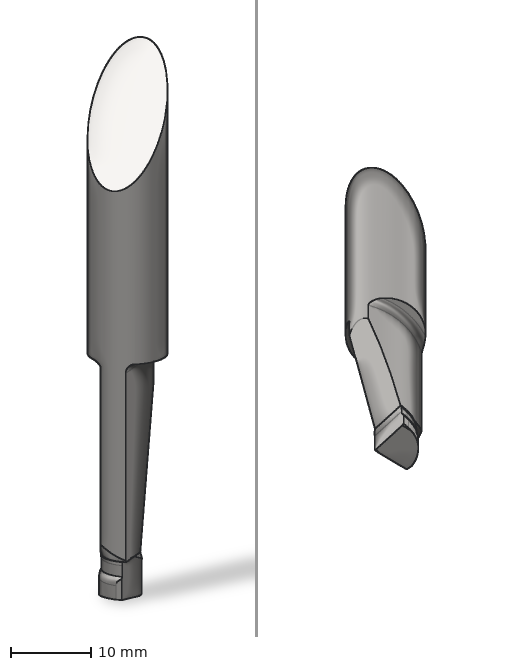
import cadquery as cq
import math

total_height = 70.9
shank_radius = 5.0
end_slope_angle = 60.0
shoulder_z = 31.2
blank_half_width = 5.7

neck_left = 2.9
neck_left_front = 1.7
neck_right = 1.6
neck_fillet = 1.05
neck_front_y = math.sqrt(shank_radius**2 - neck_left_front**2)
neck_sagitta = neck_left - neck_left_front
neck_side_radius = (neck_front_y**2 + neck_sagitta**2) / (2 * neck_sagitta)

back_top_z = 27.5
back_bottom_z = 4.4

joint_z = 5.5
head_center_x = 1.0
head_center_y = -0.85
head_radius = 4.2
groove_radius = 3.9
joint_radius = 4.0
groove_top_z = 5.1
groove_bottom_z = 3.6
head_full_z = 2.5
relief_cone_radius = 3.8
relief_cone_top_z = 9.1
relief_cone_slope = 2.2
head_right = 1.9
head_right_front = 1.1
right_chamfer_z = 4.8
bottom_rise = 0.65
corner_chamfer = 0.2


def yz_prism(points):
    """Prism across the whole width in X with the given (Y, Z) outline."""
    return (
        cq.Workplane("YZ").polyline(points).close()
        .extrude(blank_half_width, both=True)
    )


def round_bar():
    return cq.Workplane("XY").circle(shank_radius).extrude(total_height)


def neck_profile():
    """Neck section running past the shank surface at both ends."""
    end_y = blank_half_width
    arc_center_x = neck_side_radius - neck_left
    end_x = arc_center_x - math.sqrt(neck_side_radius**2 - end_y**2)
    return (
        cq.Workplane("XY").workplane(offset=joint_z)
        .moveTo(neck_right, -end_y)
        .lineTo(neck_right, end_y)
        .lineTo(end_x, end_y)
        .threePointArc((-neck_left, 0), (end_x, -end_y))
        .close()
    )


def back_waste():
    """Material behind the sloping back and behind the rake face."""
    outer_y = 2 * shank_radius
    return yz_prism([
        (0, 0), (0, back_bottom_z), (shank_radius, back_top_z),
        (outer_y, back_top_z), (outer_y, 0),
    ])


def slanted_end_waste():
    """Material above the slanted upper end."""
    rise = 2 * shank_radius * math.tan(math.radians(end_slope_angle))
    return yz_prism([
        (-shank_radius, total_height - rise),
        (shank_radius, total_height),
        (-shank_radius, total_height),
    ])


def at_head_center(solid):
    return solid.translate((head_center_x, head_center_y, 0))


def neck_relief():
    """Waste around the cone that leads the neck corner down into the head."""
    cone_height = relief_cone_top_z - joint_z
    cone_top_radius = relief_cone_radius + cone_height / relief_cone_slope
    cone = at_head_center(
        cq.Workplane("XZ")
        .polyline([
            (0, joint_z), (relief_cone_radius, joint_z),
            (cone_top_radius, relief_cone_top_z), (0, relief_cone_top_z),
        ])
        .close().revolve(360, (0, 0, 0), (0, 1, 0))
    )
    front = (
        cq.Workplane("XY")
        .box(4 * blank_half_width, 2 * blank_half_width, cone_height,
             centered=(True, False, False))
        .translate((0, head_center_y - 2 * blank_half_width, joint_z))
    )
    return front.cut(cone)


def make_shank():
    blank = (
        cq.Workplane("XY").workplane(offset=shoulder_z)
        .rect(2 * blank_half_width, 2 * blank_half_width)
        .extrude(total_height - shoulder_z)
    )
    body = blank.union(neck_profile().extrude(shoulder_z - joint_z))
    margin = neck_fillet / 2
    shoulder_edges = cq.selectors.BoxSelector(
        (-neck_left, -margin, shoulder_z - margin),
        (neck_right + margin, margin, shoulder_z + margin),
    )
    body = body.edges(shoulder_edges).fillet(neck_fillet).intersect(round_bar())
    return body.cut(slanted_end_waste()).cut(back_waste()).cut(neck_relief())


def head_outline():
    """Front outline of the head in X and Z, with its corner chamfers."""
    left = head_center_x - head_radius
    return (
        cq.Workplane("XZ")
        .polyline([
            (left + corner_chamfer, 0), (head_right - corner_chamfer, 0),
            (head_right, corner_chamfer), (head_right, right_chamfer_z),
            (neck_right, joint_z), (left, joint_z), (left, corner_chamfer),
        ])
        .close().extrude(blank_half_width, both=True)
    )


def head_half_profile():
    """Radial section of the head; an arc swells smoothly from the groove to full radius."""
    swell = head_radius - groove_radius
    swell_height = groove_bottom_z - head_full_z
    arc_radius = (swell_height**2 + swell**2) / (2 * swell)
    half_angle = math.asin(swell_height / arc_radius) / 2
    arc_middle = (
        -head_radius + arc_radius * (1 - math.cos(half_angle)),
        head_full_z + arc_radius * math.sin(half_angle),
    )
    return (
        cq.Workplane("XZ")
        .lineTo(-head_radius, 0)
        .lineTo(-head_radius, head_full_z)
        .threePointArc(arc_middle, (-groove_radius, groove_bottom_z))
        .lineTo(-groove_radius, groove_top_z)
        .lineTo(-joint_radius, joint_z)
        .lineTo(0, joint_z)
        .close()
    )


def make_head():
    rounded = head_half_profile().revolve(360, (0, 0, 0), (0, 1, 0))
    straight_left = head_half_profile().extrude(-shank_radius)
    straight_right = (
        cq.Workplane("XY")
        .box(head_radius, shank_radius, joint_z, centered=False)
    )
    body = at_head_center(rounded.union(straight_left).union(straight_right))
    side_clearance = (
        cq.Workplane("XY")
        .polyline([
            (head_right, 0), (head_right_front, -shank_radius),
            (blank_half_width, -shank_radius), (blank_half_width, 0),
        ])
        .close().extrude(joint_z)
    )
    bottom_clearance = yz_prism([(0, 0), (-shank_radius, bottom_rise), (-shank_radius, 0)])
    body = body.intersect(head_outline()).intersect(round_bar())
    return body.cut(back_waste()).cut(side_clearance).cut(bottom_clearance)


shank = make_shank()
head = make_head()
result = cq.Compound.makeCompound([shank.val(), head.val()])